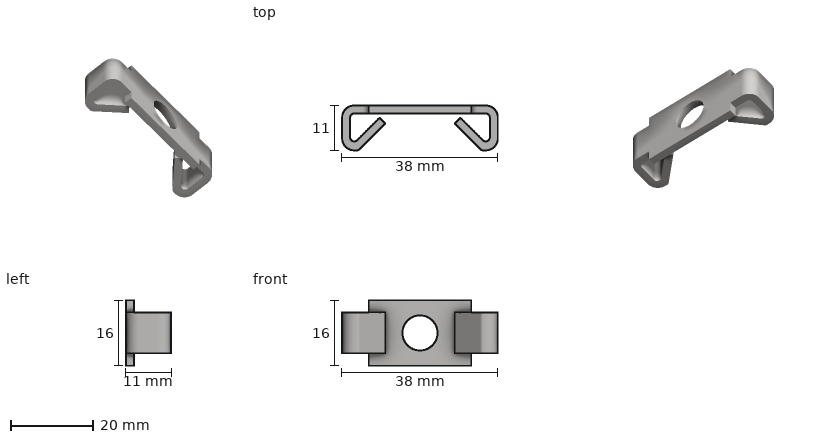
import cadquery as cq
import math

length = 38.0
depth = 11.0
sheet = 2.0
plate_width = 25.0
plate_height = 16.0
hook_height = 10.0
hole_diameter = 8.5
inner_radius = 1.0
outer_radius = inner_radius + sheet
nose_radius = 1.0
nose_x = 4.0
arm_angle = math.radians(45)
arm_gap = 1.0

side_x = -length / 2
plate_side_x = -plate_width / 2
front_y = -depth
plate_front_y = -sheet
nose_corner_x = side_x + nose_x
cos_arm = math.cos(arm_angle)
sin_arm = math.sin(arm_angle)


def arc_point(center, radius, degrees):
    """Point on a circle at the given angle from +X."""
    angle = math.radians(degrees)
    return (center[0] + radius * math.cos(angle), center[1] + radius * math.sin(angle))


def make_plate():
    """Rectangular back plate with its central through hole."""
    plate = cq.Workplane("XY").box(plate_width, sheet, plate_height, centered=(True, False, True))
    plate = plate.translate((0, -sheet, 0))
    hole = cq.Workplane("XZ").circle(hole_diameter / 2).extrude(sheet)
    return plate.cut(hole)


def make_left_hook():
    """Strip bent forward from the plate, then folded back along a sloping arm."""
    rear_bend = (side_x + outer_radius, -outer_radius)
    front_bend = (side_x + outer_radius, front_y + outer_radius)

    tip_inner_y = plate_front_y - arm_gap
    tip_outer_y = tip_inner_y - sheet * cos_arm
    tip_outer_x = nose_corner_x + (tip_outer_y - front_y) / math.tan(arm_angle)
    tip_outer = (tip_outer_x, tip_outer_y)
    tip_inner = (tip_outer_x - sheet * sin_arm, tip_inner_y)

    nose_tangent = nose_radius * math.tan(arm_angle / 2)
    nose_center = (nose_corner_x - nose_tangent, front_y + nose_radius)
    arm_normal = math.degrees(arm_angle) - 90
    nose_middle = (arm_normal - 90) / 2

    fold_x = side_x + outer_radius
    fold_rise = (sheet + inner_radius) / cos_arm
    fold_center = (fold_x, front_y + (fold_x - nose_corner_x) * math.tan(arm_angle) + fold_rise)
    fold_middle = (arm_normal - 180) / 2

    profile = (
        cq.Workplane("XY")
        .moveTo(plate_side_x, 0)
        .lineTo(*arc_point(rear_bend, outer_radius, 90))
        .threePointArc(arc_point(rear_bend, outer_radius, 135), arc_point(rear_bend, outer_radius, 180))
        .lineTo(*arc_point(front_bend, outer_radius, 180))
        .threePointArc(arc_point(front_bend, outer_radius, 225), arc_point(front_bend, outer_radius, 270))
        .lineTo(*arc_point(nose_center, nose_radius, -90))
        .threePointArc(
            arc_point(nose_center, nose_radius, nose_middle),
            arc_point(nose_center, nose_radius, arm_normal),
        )
        .lineTo(*tip_outer)
        .lineTo(*tip_inner)
        .lineTo(*arc_point(fold_center, inner_radius, arm_normal))
        .threePointArc(
            arc_point(fold_center, inner_radius, fold_middle),
            arc_point(fold_center, inner_radius, 180),
        )
        .lineTo(*arc_point(rear_bend, inner_radius, 180))
        .threePointArc(arc_point(rear_bend, inner_radius, 135), arc_point(rear_bend, inner_radius, 90))
        .lineTo(plate_side_x, plate_front_y)
        .close()
    )
    return profile.extrude(hook_height / 2, both=True)


left_hook = make_left_hook()
right_hook = left_hook.mirror("YZ")
result = make_plate().union(left_hook).union(right_hook)